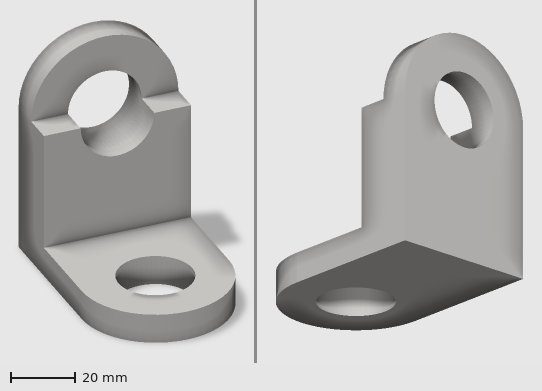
import cadquery as cq

length = 75.0
thickness = length * 2 / 15
end_radius = length / 3
hole_diameter = length / 3

width = 2 * end_radius
arc_center = length - end_radius


def tongue(plane, start):
    """Plate running from start to a rounded end, with a hole concentric to that end."""
    return (
        cq.Workplane(plane)
        .moveTo(start, -end_radius)
        .lineTo(arc_center, -end_radius)
        .threePointArc((length, 0), (arc_center, end_radius))
        .lineTo(start, end_radius)
        .close()
        .moveTo(arc_center, 0)
        .circle(hole_diameter / 2)
        .extrude(thickness)
    )


def make_base():
    """Horizontal plate lying under the other two bodies."""
    return tongue(cq.Plane.XY(), 0)


def make_upright():
    """Vertical plate standing on the rear end of the base."""
    upright_plane = cq.Plane(origin=(0, 0, 0), xDir=(0, 0, 1), normal=(1, 0, 0))
    return tongue(upright_plane, thickness)


def make_block():
    """Backing block against the upright, notched by the lower half of its hole."""
    block = cq.Workplane("XY").box(
        thickness, width, arc_center - thickness, centered=(False, True, False)
    ).translate((thickness, 0, thickness))
    bore = (
        cq.Workplane("YZ", origin=(thickness, 0, arc_center))
        .circle(hole_diameter / 2)
        .extrude(thickness)
    )
    return block.cut(bore)


base = make_base()
upright = make_upright()
block = make_block()

result = cq.Compound.makeCompound([base.val(), upright.val(), block.val()])